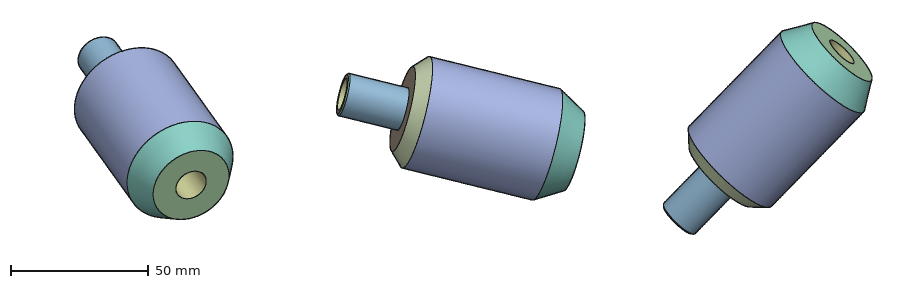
import cadquery as cq
import math

total_length = 88.0
body_diameter = 42.0
stub_length = 23.0

stub_diameter = 16.0
bore_diameter = 12.0
stub_chamfer = 0.5

shoulder_chamfer = 5.0
nose_diameter = 30.0
nose_half_angle = 30.0

body_radius = body_diameter / 2
stub_radius = stub_diameter / 2
nose_radius = nose_diameter / 2
nose_length = (body_radius - nose_radius) / math.tan(math.radians(nose_half_angle))


def make_outer_solid():
    """Revolve the stub, shoulder, body and nose around the X axis."""
    profile = (
        cq.Workplane("XY")
        .moveTo(0, 0)
        .lineTo(0, stub_radius - stub_chamfer)
        .lineTo(stub_chamfer, stub_radius)
        .lineTo(stub_length, stub_radius)
        .lineTo(stub_length, body_radius - shoulder_chamfer)
        .lineTo(stub_length + shoulder_chamfer, body_radius)
        .lineTo(total_length - nose_length, body_radius)
        .lineTo(total_length, nose_radius)
        .lineTo(total_length, 0)
        .close()
    )
    return profile.revolve(360, (0, 0, 0), (1, 0, 0))


def make_bore():
    """Straight hole along the whole axis."""
    return cq.Workplane("YZ").circle(bore_diameter / 2).extrude(total_length)


result = make_outer_solid().cut(make_bore())